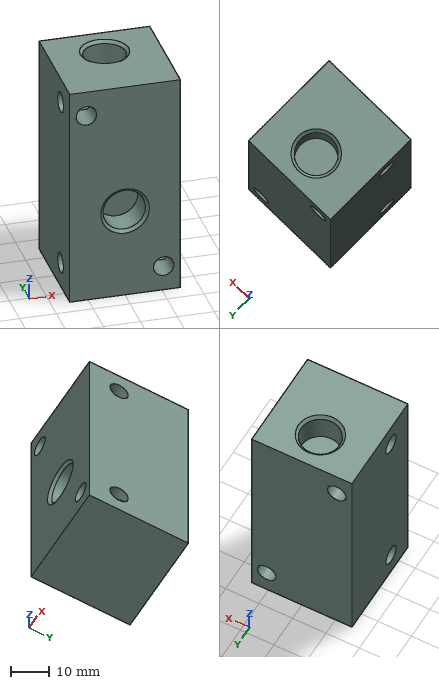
import cadquery as cq

width = 30.0
height = 62.0
half_width = width / 2

port_diameter = 11.5
port_mouth_diameter = 13.15
port_depth = 8.25
port_chamfer = (port_mouth_diameter - port_diameter) / 2
top_port_y = 5.0
front_port_z = -6.0

mount_diameter = 5.5
mount_z = 23.95
mount_x = 10.5
side_mount_y = -6.0


def port(mouth_plane):
    """Cutter for a blind port; the plane's normal points out of the block."""
    bore = cq.Workplane(mouth_plane).circle(port_diameter / 2).extrude(-port_depth)
    mouth = (
        cq.Workplane(mouth_plane)
        .circle(port_mouth_diameter / 2)
        .workplane(offset=-port_chamfer)
        .circle(port_diameter / 2)
        .loft()
    )
    return bore.union(mouth)


def through_holes(plane_name, centres):
    """Cutters for mounting holes passing through the full block width."""
    holes = cq.Workplane(plane_name).pushPoints(centres).circle(mount_diameter / 2)
    return holes.extrude(half_width, both=True)


block = cq.Workplane("XY").box(width, width, height)

top_port = port(cq.Plane(origin=(0, top_port_y, height / 2), normal=(0, 0, 1)))
front_port = port(cq.Plane(origin=(0, -half_width, front_port_z), normal=(0, -1, 0)))

front_mounts = through_holes("XZ", [(-mount_x, mount_z), (mount_x, -mount_z)])
side_mounts = through_holes("YZ", [(side_mount_y, mount_z), (side_mount_y, -mount_z)])

result = block.cut(top_port).cut(front_port).cut(front_mounts).cut(side_mounts)